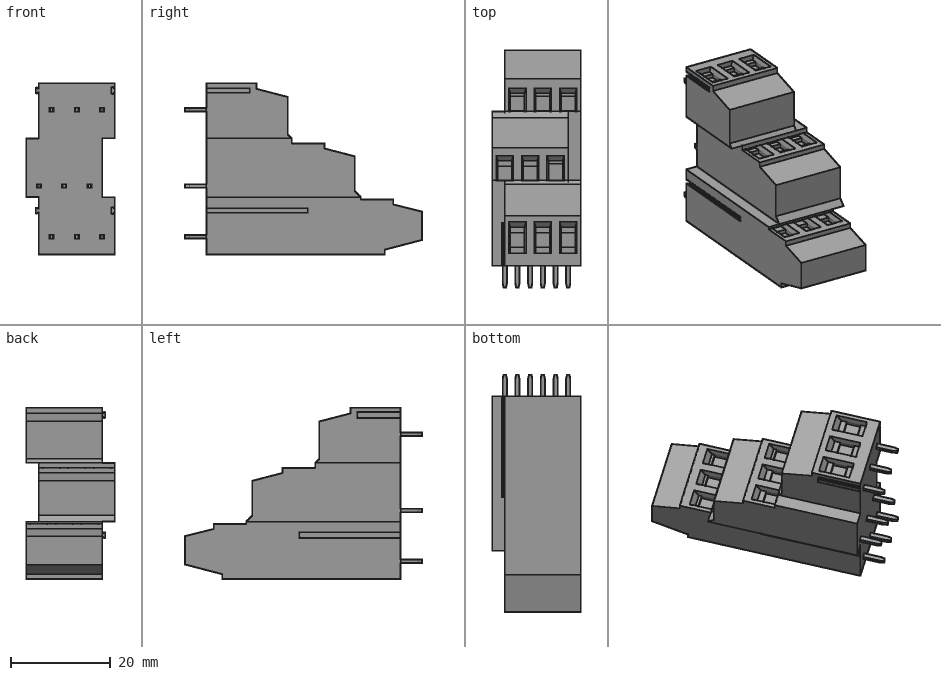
import cadquery as cq


pole_count = 3
pole_pitch = 5.1
tier_width = pole_count * pole_pitch
middle_tier_shift = -2.5

overall_length = 47.5
block_length = 43.2
block_height = 34.3
pin_length = overall_length - block_length

low_seam_z = 11.5
high_seam_z = 23.25
low_seam_reach = 30.9
high_seam_reach = 17.1

low_deck_z = 11.0
middle_deck_z = 22.25
low_deck_end = 37.45
middle_deck_end = 23.65
high_deck_end = 10.05
deck_step = 1.0

middle_face_y = 29.7
high_face_y = 16.3
low_face_top_z = 8.6
middle_face_top_z = 19.65
high_face_top_z = 31.55
high_deck_step = 1.15
low_face_bottom_z = 2.9
underside_step_y = 35.7
underside_step_z = 0.95

well_width = 3.45
well_length = 6.25
well_depth = 1.05
well_floor_width = 2.8
well_floor_length = 5.22
well_slot_depth = 0.75
slot_length = 2.9
slot_forward_move = 0.55
slot_setback = 2.2
low_well_end = 35.6
middle_well_end = 22.1
high_well_end = 8.8

pin_width = 0.9
pin_height = 0.75
pin_tip_width = 0.5
pin_tip_length = 0.85
low_pin_z = 3.55
middle_pin_z = low_pin_z + 2 * pole_pitch
high_pin_z = middle_pin_z + 3 * pole_pitch

low_rail_z = 8.8
high_rail_z = 32.8
low_rail_length = 20.25
high_rail_length = 8.65
rail_reach = 0.6
rail_neck_share = 0.3
rail_bulge_share = 0.6
rail_neck = 0.45
rail_bulge = 0.6
rail_tip = 0.5
groove_clearance = 0.1


def tier(outline, left_x):
    """Extrude a (Y, Z) outline across the tier width."""
    return cq.Workplane("YZ", origin=(left_x, 0, 0)).polyline(outline).close().extrude(tier_width)


def well(center_x, end_y, deck_z, slot_back, slot_front):
    """Tapered screw well with a slot across its floor."""
    start_y = end_y - well_length
    floor_z = deck_z - well_depth
    funnel = (
        cq.Workplane("XY", origin=(center_x, start_y, floor_z))
        .center(0, well_floor_length / 2)
        .rect(well_floor_width, well_floor_length)
        .workplane(offset=well_depth)
        .center(0, (well_length - well_floor_length) / 2)
        .rect(well_width, well_length)
        .loft(ruled=True)
    )
    slot = cq.Workplane("XY").box(
        well_floor_width, slot_back - slot_front, well_slot_depth, centered=(True, False, False)
    ).translate((center_x, slot_front, floor_z - well_slot_depth))
    return funnel.union(slot)


def pin(center_x, center_z):
    """Flat pin pointing to -Y, narrowed in X at the tip."""
    half = pin_width / 2
    half_tip = pin_tip_width / 2
    shoulder_y = pin_tip_length - pin_length
    outline = [
        (-half, 0),
        (-half, shoulder_y),
        (-half_tip, -pin_length),
        (half_tip, -pin_length),
        (half, shoulder_y),
        (half, 0),
    ]
    blank = cq.Workplane("XY").polyline(outline).close().extrude(pin_height)
    return blank.translate((center_x, 0, center_z - pin_height / 2))


def rail(side_x, center_z, length, clearance=0.0):
    """Rail with a narrow neck and a bulged head, pointing to -X from side_x."""
    reach = rail_reach + clearance
    bulge = rail_bulge + clearance
    upper = [
        (0, rail_neck),
        (-rail_neck_share * reach, rail_neck),
        (-rail_bulge_share * reach, bulge),
        (-reach, rail_tip + clearance),
    ]
    lower = [(x, -z) for x, z in reversed(upper)]
    section = cq.Workplane("XZ", origin=(side_x, 0, center_z)).polyline(upper + lower).close()
    return section.extrude(-length)


low_outline = [
    (0, 0),
    (0, low_seam_z),
    (low_seam_reach, low_seam_z),
    (low_seam_reach, low_deck_z),
    (low_deck_end, low_deck_z),
    (low_deck_end, low_deck_z - deck_step),
    (block_length, low_face_top_z),
    (block_length, low_face_bottom_z),
    (underside_step_y, underside_step_z),
    (underside_step_y, 0),
]
middle_outline = [
    (0, low_seam_z),
    (0, high_seam_z),
    (high_seam_reach, high_seam_z),
    (high_seam_reach, middle_deck_z),
    (middle_deck_end, middle_deck_z),
    (middle_deck_end, middle_deck_z - deck_step),
    (middle_face_y, middle_face_top_z),
    (middle_face_y, low_seam_z + low_seam_reach - middle_face_y),
    (low_seam_reach, low_seam_z),
]
high_outline = [
    (0, high_seam_z),
    (0, block_height),
    (high_deck_end, block_height),
    (high_deck_end, block_height - high_deck_step),
    (high_face_y, high_face_top_z),
    (high_face_y, high_seam_z + high_seam_reach - high_face_y),
    (high_seam_reach, high_seam_z),
]
body = tier(low_outline, 0)
body = body.union(tier(middle_outline, middle_tier_shift))
body = body.union(tier(high_outline, 0))

low_slot_back = low_well_end - slot_setback + slot_forward_move
middle_slot_back = middle_well_end - slot_setback
high_slot_back = high_well_end - slot_setback
low_slot_front = low_slot_back - slot_length
middle_slot_front = middle_slot_back - slot_length
high_slot_front = high_slot_back - slot_length

for pole in range(pole_count):
    straight_x = (pole + 0.5) * pole_pitch
    shifted_x = straight_x + middle_tier_shift

    is_last_pole = pole == pole_count - 1
    middle_back = middle_slot_back + (slot_forward_move if is_last_pole else 0)

    body = body.cut(well(straight_x, low_well_end, low_deck_z, low_slot_back, low_slot_front))
    body = body.cut(well(shifted_x, middle_well_end, middle_deck_z, middle_back, middle_slot_front))
    body = body.cut(well(straight_x, high_well_end, block_height, high_slot_back, high_slot_front))

    body = body.union(pin(straight_x, low_pin_z))
    body = body.union(pin(shifted_x, middle_pin_z))
    body = body.union(pin(straight_x, high_pin_z))

for rail_z, rail_length in ((low_rail_z, low_rail_length), (high_rail_z, high_rail_length)):
    body = body.union(rail(0, rail_z, rail_length))
    body = body.cut(rail(tier_width, rail_z, rail_length, groove_clearance))

result = body